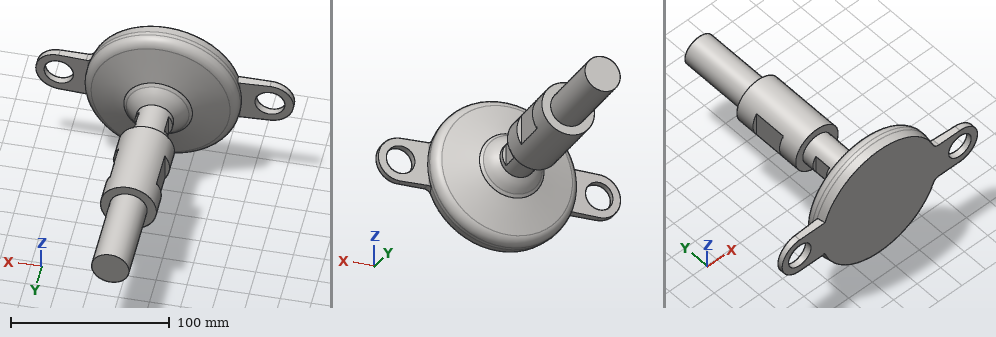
import cadquery as cq
import math


base_radius = 50.0
underside_radius = 49.0
rim_bottom = 6.1
rim_top = 9.0
shoulder_radius = 7.6
lip_outer_radius = 22.1
lip_outer_height = 23.8
lip_height = 25.5

overall_width = 166.0
lug_end_radius = 15.0
lug_hole_diameter = 19.0
lug_tip_thickness = 4.0
lug_root_thickness = 5.8
lug_fillet = 5.0
lug_tip = overall_width / 2
lug_center = lug_tip - lug_end_radius

stem_top = 170.0
stem_radius = 12.0
dome_radius = 24.0
dome_center = 12.5
stem_flat_bottom = 37.0
stem_flat_length = 12.5
stem_flat_spacing = 19.0

sleeve_radius = 18.0
sleeve_bottom = 59.2
sleeve_top = 114.5
sleeve_flat_length = 25.0
sleeve_flat_spacing = 30.0
sleeve_flat_bottom = (sleeve_bottom + sleeve_top - sleeve_flat_length) / 2


def cylinder(radius, bottom, top):
    """Solid cylinder on the Y axis between two heights."""
    return cq.Workplane("XZ", origin=(0, bottom, 0)).circle(radius).extrude(bottom - top)


def make_disc():
    """Turned body: tapered rim, rounded shoulder, cone, lip and spherical dome."""
    lip_radius = math.sqrt(dome_radius**2 - (lip_height - dome_center) ** 2)
    dome_top = dome_center + math.sqrt(dome_radius**2 - stem_radius**2)

    arc_x = base_radius - shoulder_radius
    arc_y = rim_top
    run = arc_x - lip_outer_radius
    drop = lip_outer_height - arc_y
    slope = math.atan2(drop, run) - math.asin(shoulder_radius / math.hypot(run, drop))
    cone_end = (arc_x + shoulder_radius * math.sin(slope), arc_y + shoulder_radius * math.cos(slope))

    return (
        cq.Workplane("XY")
        .lineTo(underside_radius, 0)
        .lineTo(base_radius, rim_bottom)
        .lineTo(base_radius, rim_top)
        .radiusArc(cone_end, -shoulder_radius)
        .lineTo(lip_outer_radius, lip_outer_height)
        .lineTo(lip_radius, lip_height)
        .radiusArc((stem_radius, dome_top), -dome_radius)
        .lineTo(0, dome_top)
        .close()
        .revolve(360, (0, 0), (0, 1))
    )


def make_lug_taper(side):
    """Wedge-shaped envelope that thins the lug toward its tip."""
    return (
        cq.Workplane("XY")
        .lineTo(side * lug_tip, 0)
        .lineTo(side * lug_tip, lug_tip_thickness)
        .lineTo(side * underside_radius, lug_root_thickness)
        .lineTo(0, lug_root_thickness)
        .close()
        .extrude(lug_end_radius + lug_fillet, both=True)
    )


def make_lug(side):
    """Round-ended lug, starting inside the disc, on the +X or -X side."""
    bar = (
        cq.Workplane("XZ")
        .center(side * lug_center / 2, 0)
        .rect(lug_center, 2 * lug_end_radius)
        .extrude(-lug_root_thickness)
    )
    end = cq.Workplane("XZ").center(side * lug_center, 0).circle(lug_end_radius).extrude(-lug_root_thickness)
    return bar.union(end).intersect(make_lug_taper(side))


def make_root_fillet(side_z):
    """Concave web filling the corner between the disc and the +X lug."""
    center_z = lug_end_radius + lug_fillet
    center_x = math.sqrt((underside_radius + lug_fillet) ** 2 - center_z**2)
    touch_ratio = underside_radius / (underside_radius + lug_fillet)
    inner_x = center_x * touch_ratio
    web = (
        cq.Workplane("XZ")
        .moveTo(inner_x, side_z * center_z * touch_ratio)
        .lineTo(inner_x, side_z * lug_end_radius)
        .lineTo(center_x, side_z * lug_end_radius)
        .lineTo(center_x, side_z * center_z)
        .close()
        .extrude(-lug_root_thickness)
    )
    round_cut = (
        cq.Workplane("XZ").center(center_x, side_z * center_z).circle(lug_fillet).extrude(-lug_root_thickness)
    )
    return web.cut(round_cut).intersect(make_lug_taper(1))


def cut_flats(body, spacing, bottom, length):
    """Cut two parallel wrench flats facing -X and +X."""
    for side in (-1, 1):
        block = cq.Workplane("XY").box(sleeve_radius, length, 2 * sleeve_radius)
        center_x = side * (spacing + sleeve_radius) / 2
        body = body.cut(block.translate((center_x, bottom + length / 2, 0)))
    return body


def make_foot():
    foot = make_disc()
    for side in (-1, 1):
        foot = foot.union(make_lug(side))
    for side_z in (-1, 1):
        foot = foot.union(make_root_fillet(side_z))
    holes = (
        cq.Workplane("XZ")
        .pushPoints([(-lug_center, 0), (lug_center, 0)])
        .circle(lug_hole_diameter / 2)
        .extrude(-lug_root_thickness)
    )
    stem = cylinder(stem_radius, dome_center, stem_top)
    stem = cut_flats(stem, stem_flat_spacing, stem_flat_bottom, stem_flat_length)
    return foot.cut(holes).union(stem)


def make_sleeve():
    """Sleeve bored to the stem diameter, with its own pair of wrench flats."""
    sleeve = cylinder(sleeve_radius, sleeve_bottom, sleeve_top)
    sleeve = sleeve.cut(cylinder(stem_radius, sleeve_bottom, sleeve_top))
    return cut_flats(sleeve, sleeve_flat_spacing, sleeve_flat_bottom, sleeve_flat_length)


foot = make_foot()
sleeve = make_sleeve()
result = cq.Compound.makeCompound([foot.val(), sleeve.val()])